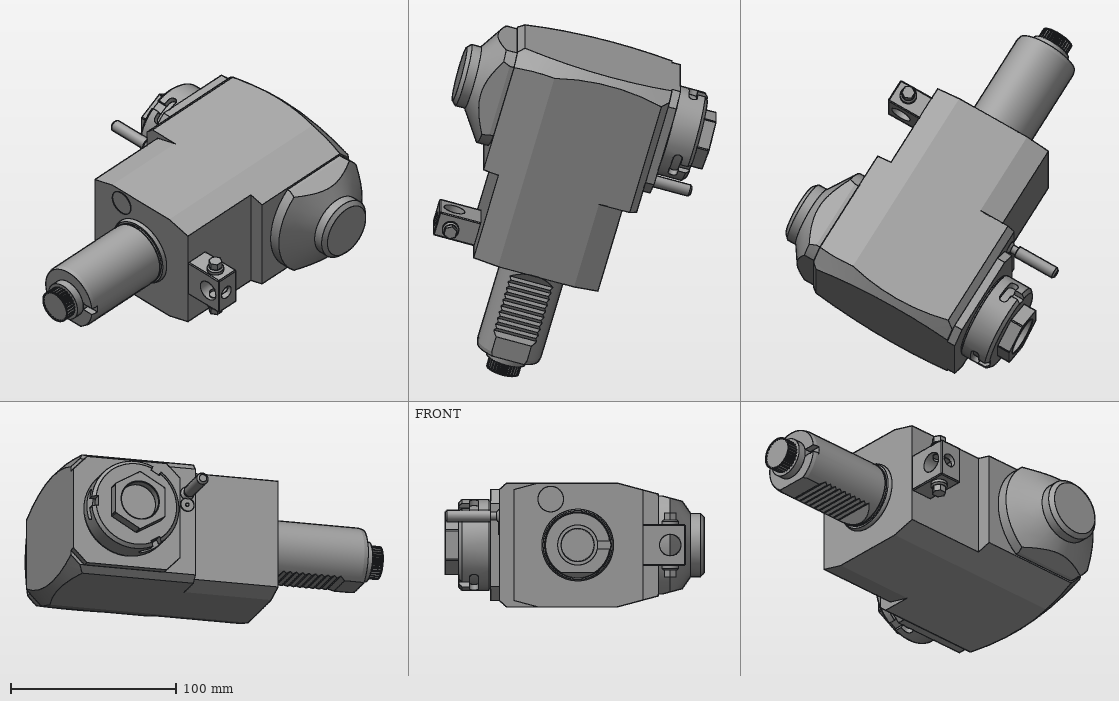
import cadquery as cq
import math


CUT_CLEARANCE = 2

HEIGHT = 75.0
HALF_HEIGHT = HEIGHT / 2
BACK_Y = 133.8
STEP_Y = 55.0
HEAD_LEFT_X = -47.5
HEAD_RIGHT_X = 49.0
STEM_LEFT_X = -38.7
STEM_RIGHT_X = 39.5
TAPER_START_X = 24.0
TAPER_SLOPE = math.tan(math.radians(15))
LEFT_BEVEL_HEIGHT = 4.0
HEAD_BEVEL_WIDTH = 4.4
CROWN_RADIUS = 188
CROWN_X = -9.6
CROWN_SETBACK = 4.2
BACK_CORNER_X = 3.8
BACK_CORNER_Y = 3.1
PLUG_X = -16.3
PLUG_Z = 27.8
PLUG_RADIUS = 7.7
PLUG_DEPTH = 0.5

SPINDLE_Y = 100.0
PLATE_THICKNESS = 5.2
PLATE_HALF_WIDTH = 33.6
PLATE_CORNER = 8.5
PLATE_LEFT_X = HEAD_LEFT_X - PLATE_THICKNESS
NUT_RADIUS = 27.5
NUT_LEFT_X = -72.1
NUT_CHAMFER = 2.0
NUT_NECK_RADIUS = 26.8
NUT_NECK_LENGTH = 1.0
NUT_SLOT_COUNT = 3
NUT_SLOT_DEPTH = 3.5
KEY_SLOT_WIDTH = 6.0
ARC_SLOT_WIDTH = 5.5
ARC_SLOT_CENTER_X = -62.7
ARC_SLOT_END_ANGLE = 14.4
HEX_LEFT_X = -80.3
HEX_ACROSS_FLATS = 31.5
HEX_CORNER_RADIUS = 18.0
HEX_BORE_RADIUS = 11.7
HEX_BORE_CHAMFER = 0.5
HEX_BORE_DEPTH = 6.7

CAP_RADIUS = 37.5
CAP_CONE_START_X = 55.8
CAP_CONE_END_X = 68.3
CAP_NOSE_RADIUS = 19.2
CAP_RIGHT_X = 76.7
CAP_NOSE_CHAMFER = 2.5
CAP_BACK_Y = 129.8
CAP_FLAT_Z = 29.7
CAP_FLAT_END_X = 51.5

PIN_Y = 60.2
PIN_Z = 17.5
PIN_RADIUS = 3.5
PIN_CHAMFER = 1.3
PIN_BODY_END_X = -52.9
PIN_NECK_RADIUS = 2.5
PIN_SEAT_RADIUS = 4.2
PIN_FLARE_LENGTH = 1.7
NOZZLE_Z = 10.5
NOZZLE_HEIGHT = 0.6
NOZZLE_BORE_RADIUS = 1.0

FLANGE_RADIUS = 21.7
FLANGE_THICKNESS = 2.5
FLANGE_MID_RADIUS = 21.5
FLANGE_END_RADIUS = 21.0
SHANK_RADIUS = 20.0
RELIEF_RADIUS = 19.6
RELIEF_END_Y = -4.0
SHANK_END_Y = -63.0
SHANK_CHAMFER_RADIAL = 0.6
SHANK_CHAMFER_LENGTH = 2.5
COLLAR_RADIUS = 12.1
COLLAR_END_Y = -68.0
SPLINE_END_Y = -75.2
SPLINE_RADIUS = 10.0
SPLINE_ROOT_RADIUS = 9.2
SPLINE_TEETH = 28
SPLINE_RIM = 0.6
FLAT_Z = -16.7
RACK_START_Y = -5.5
RACK_ROOT_START_Y = -11.3
RACK_END_Y = -50.4
RACK_ROOT_Z = -14.8
RACK_TIP_Z = -15.9
RACK_TEETH = 9
RACK_TEETH_LENGTH = 36.0
RACK_PITCH = RACK_TEETH_LENGTH / RACK_TEETH
DRIVE_SLOT_WIDTH = 4.5
DRIVE_SLOT_DEPTH = 4.2

BRACKET_RIGHT_X = 65.2
BRACKET_FRONT_Y = 0.5
BRACKET_BACK_Y = 15.7
BRACKET_HALF_HEIGHT = 12.3
BRACKET_CHAMFER = 0.6
BRACKET_BORE_X = 56.0
BRACKET_BORE_RADIUS = 6.5
OUTLET_RADIUS = 4.2
SCREW_BORE_RADIUS = 3.8
SCREW_BORE_HALF_LENGTH = 7.0
SCREW_Y = 7.0
SCREW_COLLAR_RADIUS = 5.0
SCREW_COLLAR_HEIGHT = 3.0
SCREW_COLLAR_CHAMFER = 1.0
SCREW_HEX_ACROSS_FLATS = 7.1
SCREW_HEIGHT = 7.1


def taper_z(x):
    return HALF_HEIGHT - (x - TAPER_START_X) * TAPER_SLOPE


def box(x0, x1, y0, y1, z0, z1):
    return cq.Workplane("XY").box(x1 - x0, y1 - y0, z1 - z0, centered=False).translate((x0, y0, z0))


def turned_along_x(outline, axis_y, axis_z):
    """Revolve (x, radius) points about a line parallel to X."""
    blank = cq.Workplane("XY").polyline(outline).close().revolve(360, (0, 0, 0), (1, 0, 0))
    return blank.translate((0, axis_y, axis_z))


def cylinder_along_y(radius, y0, y1, x=0, z=0):
    return cq.Workplane("XZ", origin=(0, y0, 0)).center(x, z).circle(radius).extrude(y0 - y1)


def housing_prism(left_x, bevel_width, right_x, y0, y1):
    """Prism along Y, bevelled on the left and tapered on the right."""
    upper = [
        (left_x, HALF_HEIGHT - LEFT_BEVEL_HEIGHT),
        (left_x + bevel_width, HALF_HEIGHT),
        (TAPER_START_X, HALF_HEIGHT),
        (right_x, taper_z(right_x)),
    ]
    lower = [(x, -z) for x, z in reversed(upper)]
    return cq.Workplane("XZ", origin=(0, y0, 0)).polyline(upper + lower).close().extrude(y0 - y1)


def crown_limit(side):
    """Large cylinder, tilted 45 degrees, that rounds off the back edge on one side (+1 top, -1 bottom)."""
    length = 4 * CROWN_RADIUS
    diagonal = math.sqrt(2)
    crest = (BACK_Y + HALF_HEIGHT - CROWN_SETBACK) / 2
    axis_offset = crest - CROWN_RADIUS / diagonal
    along = length / 2 / diagonal
    start = cq.Vector(CROWN_X, axis_offset + along, side * (axis_offset - along))
    return cq.Workplane(cq.Solid.makeCylinder(CROWN_RADIUS, length, start, cq.Vector(0, -1, side)))


def make_housing():
    bevel_run = LEFT_BEVEL_HEIGHT / TAPER_SLOPE
    stem = housing_prism(STEM_LEFT_X, bevel_run, STEM_RIGHT_X, 0, STEP_Y)
    head = housing_prism(HEAD_LEFT_X, HEAD_BEVEL_WIDTH, HEAD_RIGHT_X, STEP_Y, BACK_Y)
    for side in (1, -1):
        head = head.intersect(crown_limit(side))
    corner = (
        cq.Workplane("XY")
        .polyline([
            (HEAD_RIGHT_X, BACK_Y),
            (HEAD_RIGHT_X - BACK_CORNER_X, BACK_Y),
            (HEAD_RIGHT_X, BACK_Y - BACK_CORNER_Y),
        ])
        .close()
        .extrude(HALF_HEIGHT, both=True)
    )
    plug_recess = cylinder_along_y(PLUG_RADIUS, 0, PLUG_DEPTH, PLUG_X, PLUG_Z)
    return stem.union(head.cut(corner)).cut(plug_recess)


def make_plate():
    return (
        box(
            PLATE_LEFT_X, HEAD_LEFT_X,
            SPINDLE_Y - PLATE_HALF_WIDTH, BACK_Y,
            -PLATE_HALF_WIDTH, PLATE_HALF_WIDTH,
        )
        .edges("|X")
        .chamfer(PLATE_CORNER)
    )


def make_nut_slot():
    """Spanner slot on the +Y side of the nut: an axial key slot that opens into a round-ended arc slot."""
    floor_radius = NUT_RADIUS - NUT_SLOT_DEPTH
    over_radius = NUT_RADIUS + CUT_CLEARANCE
    half_width = ARC_SLOT_WIDTH / 2
    slot = box(
        NUT_LEFT_X, ARC_SLOT_CENTER_X,
        floor_radius, over_radius,
        -KEY_SLOT_WIDTH / 2, KEY_SLOT_WIDTH / 2,
    )
    mid_radius = (floor_radius + over_radius) / 2
    arc = (
        cq.Workplane("XY")
        .center(ARC_SLOT_CENTER_X, mid_radius)
        .rect(ARC_SLOT_WIDTH, over_radius - floor_radius)
        .revolve(2 * ARC_SLOT_END_ANGLE, (0, -mid_radius), (1, -mid_radius))
        .rotate((0, 0, 0), (1, 0, 0), -ARC_SLOT_END_ANGLE)
    )
    slot = slot.union(arc)
    for angle in (-ARC_SLOT_END_ANGLE, ARC_SLOT_END_ANGLE):
        end = cylinder_along_y(half_width, floor_radius, over_radius, ARC_SLOT_CENTER_X)
        slot = slot.union(end.rotate((0, 0, 0), (1, 0, 0), angle))
    return slot


def make_nut():
    neck_x = PLATE_LEFT_X - NUT_NECK_LENGTH
    nut = turned_along_x([
        (NUT_LEFT_X, 0),
        (NUT_LEFT_X, NUT_RADIUS - NUT_CHAMFER),
        (NUT_LEFT_X + NUT_CHAMFER, NUT_RADIUS),
        (neck_x, NUT_RADIUS),
        (neck_x, NUT_NECK_RADIUS),
        (PLATE_LEFT_X, NUT_NECK_RADIUS),
        (PLATE_LEFT_X, 0),
    ], 0, 0)
    slot = make_nut_slot()
    for i in range(NUT_SLOT_COUNT):
        nut = nut.cut(slot.rotate((0, 0, 0), (1, 0, 0), i * 360 / NUT_SLOT_COUNT))
    hex_face = cq.Workplane("YZ", origin=(HEX_LEFT_X, 0, 0))
    hex_length = NUT_LEFT_X - HEX_LEFT_X
    hexagon = (
        hex_face.polygon(6, HEX_ACROSS_FLATS, circumscribed=True)
        .extrude(hex_length)
        .cut(hex_face.circle(HEX_BORE_RADIUS).extrude(HEX_BORE_DEPTH))
        .faces("<X")
        .edges("%CIRCLE")
        .chamfer(HEX_BORE_CHAMFER)
        .intersect(hex_face.circle(HEX_CORNER_RADIUS).extrude(hex_length))
    )
    return nut.union(hexagon).translate((0, SPINDLE_Y, 0))


def make_cap():
    cap = turned_along_x([
        (HEAD_RIGHT_X, 0),
        (HEAD_RIGHT_X, CAP_RADIUS),
        (CAP_CONE_START_X, CAP_RADIUS),
        (CAP_CONE_END_X, CAP_NOSE_RADIUS),
        (CAP_RIGHT_X - CAP_NOSE_CHAMFER, CAP_NOSE_RADIUS),
        (CAP_RIGHT_X, CAP_NOSE_RADIUS - CAP_NOSE_CHAMFER),
        (CAP_RIGHT_X, 0),
    ], SPINDLE_Y, 0)
    end_z = CAP_FLAT_Z - (CAP_RIGHT_X - CAP_FLAT_END_X) * TAPER_SLOPE
    upper = [(HEAD_RIGHT_X, CAP_FLAT_Z), (CAP_FLAT_END_X, CAP_FLAT_Z), (CAP_RIGHT_X, end_z)]
    lower = [(x, -z) for x, z in reversed(upper)]
    envelope = (
        cq.Workplane("XZ", origin=(0, CAP_BACK_Y, 0))
        .polyline(upper + lower)
        .close()
        .extrude(CAP_BACK_Y)
    )
    return cap.intersect(envelope)


def make_pin():
    return turned_along_x([
        (HEX_LEFT_X, 0),
        (HEX_LEFT_X, PIN_RADIUS - PIN_CHAMFER),
        (HEX_LEFT_X + PIN_CHAMFER, PIN_RADIUS),
        (PIN_BODY_END_X, PIN_RADIUS),
        (PIN_BODY_END_X, PIN_NECK_RADIUS),
        (HEAD_LEFT_X - PIN_FLARE_LENGTH, PIN_NECK_RADIUS),
        (HEAD_LEFT_X, PIN_SEAT_RADIUS),
        (HEAD_LEFT_X, 0),
    ], PIN_Y, PIN_Z)


def make_nozzle():
    return (
        cq.Workplane("YZ", origin=(HEAD_LEFT_X - NOZZLE_HEIGHT, PIN_Y, NOZZLE_Z))
        .circle(PIN_SEAT_RADIUS)
        .circle(NOZZLE_BORE_RADIUS)
        .extrude(NOZZLE_HEIGHT)
    )


def make_spline():
    """Toothed shaft end whose lands and gaps each take a quarter of the tooth pitch, closed by a round rim."""
    pitch_angle = 2 * math.pi / SPLINE_TEETH
    tooth_radii = (SPLINE_ROOT_RADIUS, SPLINE_RADIUS, SPLINE_RADIUS, SPLINE_ROOT_RADIUS)
    points = []
    for i in range(SPLINE_TEETH):
        for quarter, radius in enumerate(tooth_radii):
            angle = (i + (quarter + 0.5) / 4) * pitch_angle
            points.append((radius * math.cos(angle), radius * math.sin(angle)))
    length = COLLAR_END_Y - SPLINE_END_Y
    teeth = cq.Workplane("XZ", origin=(0, COLLAR_END_Y, 0)).polyline(points).close().extrude(length)
    rim = cylinder_along_y(SPLINE_RADIUS, SPLINE_END_Y + SPLINE_RIM, SPLINE_END_Y)
    return teeth.union(rim)


def make_rack_cut():
    """Material removed under the shank: a run-in ramp, the rack teeth, then a plain flat to the end."""
    below_z = -SHANK_RADIUS - CUT_CLEARANCE
    outline = [(RACK_START_Y, below_z), (RACK_START_Y, -SHANK_RADIUS), (RACK_ROOT_START_Y, RACK_ROOT_Z)]
    for i in range(RACK_TEETH):
        root_y = RACK_ROOT_START_Y - i * RACK_PITCH
        outline.append((root_y - RACK_PITCH / 2, RACK_TIP_Z))
        outline.append((root_y - RACK_PITCH, RACK_ROOT_Z))
    outline += [(RACK_END_Y, FLAT_Z), (SHANK_END_Y, FLAT_Z), (SHANK_END_Y, below_z)]
    return cq.Workplane("YZ").polyline(outline).close().extrude(SHANK_RADIUS, both=True)


def make_shank():
    flange = (
        cq.Workplane("XY")
        .lineTo(FLANGE_RADIUS, 0)
        .threePointArc((FLANGE_MID_RADIUS, -FLANGE_THICKNESS / 2), (FLANGE_END_RADIUS, -FLANGE_THICKNESS))
        .lineTo(0, -FLANGE_THICKNESS)
        .close()
        .revolve(360, (0, 0, 0), (0, 1, 0))
    )
    shank = (
        cylinder_along_y(SHANK_RADIUS, 0, SHANK_END_Y)
        .faces("<Y")
        .chamfer(SHANK_CHAMFER_LENGTH, SHANK_CHAMFER_RADIAL)
    )
    drive_slot = box(
        COLLAR_RADIUS, SHANK_RADIUS,
        SHANK_END_Y, SHANK_END_Y + DRIVE_SLOT_DEPTH,
        -DRIVE_SLOT_WIDTH / 2, DRIVE_SLOT_WIDTH / 2,
    )
    relief_core = cylinder_along_y(RELIEF_RADIUS, 0, RELIEF_END_Y)
    relief = cylinder_along_y(SHANK_RADIUS, 0, RELIEF_END_Y).cut(relief_core)
    collar = cylinder_along_y(COLLAR_RADIUS, SHANK_END_Y, COLLAR_END_Y)
    shank = shank.cut(make_rack_cut()).cut(drive_slot).cut(relief)
    return shank.union(flange).union(collar).union(make_spline())


def make_bracket():
    bracket = (
        box(
            STEM_RIGHT_X, BRACKET_RIGHT_X,
            BRACKET_FRONT_Y, BRACKET_BACK_Y,
            -BRACKET_HALF_HEIGHT, BRACKET_HALF_HEIGHT,
        )
        .edges("not <X")
        .chamfer(BRACKET_CHAMFER)
    )
    screw = (
        cq.Workplane("XY", origin=(BRACKET_BORE_X, SCREW_Y, BRACKET_HALF_HEIGHT))
        .polygon(6, SCREW_HEX_ACROSS_FLATS, circumscribed=True)
        .extrude(SCREW_HEIGHT)
    )
    screw_collar = (
        cq.Workplane("XY", origin=(BRACKET_BORE_X, SCREW_Y, BRACKET_HALF_HEIGHT))
        .circle(SCREW_COLLAR_RADIUS)
        .extrude(SCREW_COLLAR_HEIGHT)
        .faces(">Z")
        .chamfer(SCREW_COLLAR_CHAMFER)
    )
    screw = screw.union(screw_collar)
    bore = cylinder_along_y(BRACKET_BORE_RADIUS, BRACKET_FRONT_Y, BRACKET_BACK_Y, BRACKET_BORE_X)
    outlet = (
        cq.Workplane("YZ", origin=(BRACKET_BORE_X, SCREW_Y, 0))
        .circle(OUTLET_RADIUS)
        .extrude(BRACKET_RIGHT_X - BRACKET_BORE_X)
    )
    screw_bore = (
        cq.Workplane("XY", origin=(BRACKET_BORE_X, SCREW_Y, 0))
        .circle(SCREW_BORE_RADIUS)
        .extrude(SCREW_BORE_HALF_LENGTH, both=True)
    )
    return bracket.cut(bore).cut(outlet).cut(screw_bore).union(screw).union(screw.mirror("XY"))


result = make_housing()
for feature in (
    make_plate(),
    make_nut(),
    make_cap(),
    make_pin(),
    make_nozzle(),
    make_shank(),
    make_bracket(),
):
    result = result.union(feature)